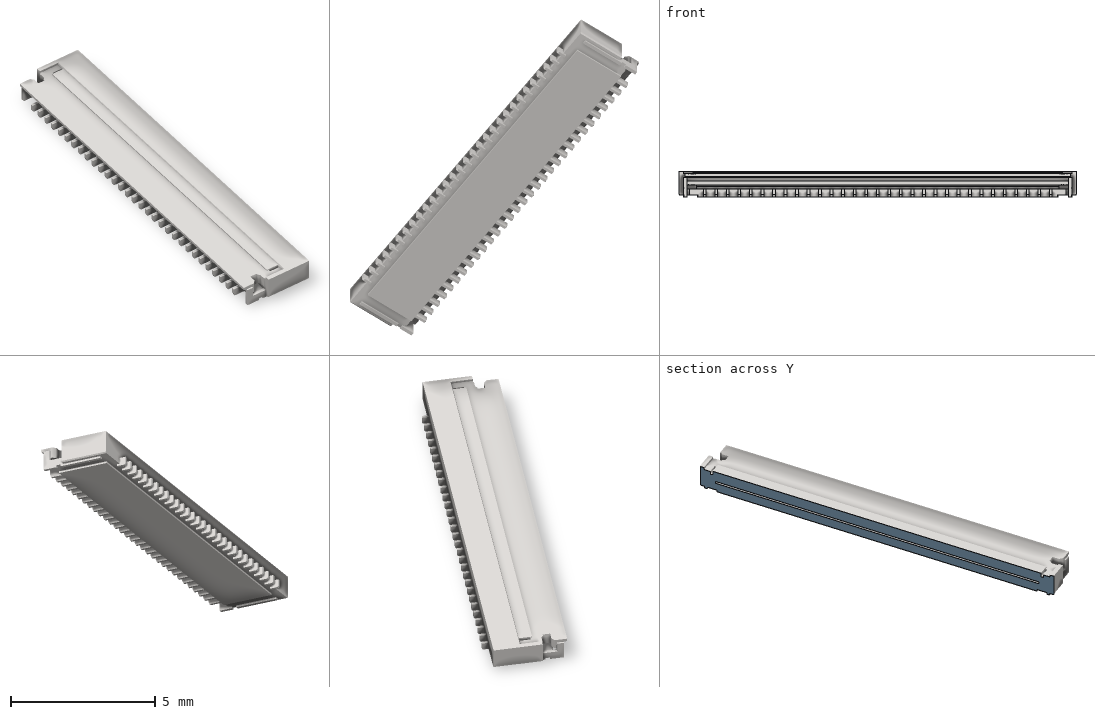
import cadquery as cq


LENGTH = 13.8
HEIGHT = 0.9
BACK_Y = 1.21
ARM_FRONT_Y = -0.52
BASE_FRONT_Y = -0.95
HOUSING_BOTTOM_Z = 0.07
BOTTOM_EDGE_CHAMFER = 0.04
FLOOR_Z = 0.29

SOLE_HALF_X = 6.25
SOLE_BACK_Y = 0.91
BASE_HALF_X = 6.61
BASE_CORNER = 0.08

OPENING_HALF_X = 6.73
OPENING_BACK_Y = 0.26
OPENING_BEVEL = 0.04

SLOT_HALF_X = 6.29
SLOT_TOP_Z = 0.43
SLOT_BACK_Y = 0.83
RAMP_TOP_Z = 0.37
RAMP_BACK_Y = -0.41

LOCK_TOP_Z = 0.81
LOCK_FRONT_Y = -1.42
LOCK_HALF_X = 6.68
LIP_BOTTOM_Z = 0.69
LIP_BACK_Y = -1.16
NOSE_TOP_Z = 0.57
NOSE_Y = -1.05
LIP_EDGE_CHAMFER = 0.05

PAD_HALF_X = 6.4
PAD_FRONT_Y = -0.23
PAD_TOP_Z = 0.85
GROOVE_WIDTH = 0.08
GROOVE_FRONT_Y = -0.17
GROOVE_DEPTH = 0.11

NOTCH_INNER_X = 6.38
NOTCH_TOP_INNER_X = 6.32
NOTCH_BACK_Y = -0.55
NOTCH_FRONT_Y = -0.88
NOTCH_CORNER = 0.11
NOTCH_BACK_CORNER = 0.07

FITTING_THICKNESS = 0.12
FITTING_BACK_Y = 0.91
FITTING_FRONT_Y = -1.3
RAIL_TOP_Z = 0.32
RELIEF_FRONT_Y = -0.81
RELIEF_BACK_Y = -0.65
POST_BACK_Y = -1.06
POST_TOP_Z = LIP_BOTTOM_Z

PITCH = 0.4
FRONT_CONTACTS = 31
REAR_CONTACTS = FRONT_CONTACTS - 1
CONTACT_WIDTH = 0.1
CONTACT_TOP_Z = 0.29
CONTACT_TIP_CHAMFER = 0.04
FRONT_TIP_CHAMFER_HEIGHT = 0.1
FRONT_TIP_Y = -1.4
REAR_TIP_Y = 1.44
REAR_FOOT_Y = 1.1
OVERLAP = 0.07


def block(x0, x1, y0, y1, z0, z1):
    """Box between two opposite corners."""
    return cq.Workplane("XY").box(x1 - x0, y1 - y0, z1 - z0, centered=False).translate((x0, y0, z0))


def centred_block(half_x, y0, y1, z0, z1):
    """Box symmetric about the YZ plane."""
    return block(-half_x, half_x, y0, y1, z0, z1)


def swept_profile(points, half_x):
    """Outline in (Y, Z) extruded symmetrically along X."""
    return cq.Workplane("YZ").polyline(points).close().extrude(half_x, both=True)


def both_ends(piece):
    """The piece together with its mirror image at the other end of the connector."""
    return piece.union(piece.mirror("YZ"))


def make_housing():
    shell = centred_block(LENGTH / 2, ARM_FRONT_Y, BACK_Y, HOUSING_BOTTOM_Z, HEIGHT)
    shell = shell.faces("<Z").edges("|Y").chamfer(BOTTOM_EDGE_CHAMFER)
    opening = swept_profile(
        [
            (ARM_FRONT_Y, LOCK_TOP_Z),
            (OPENING_BACK_Y - OPENING_BEVEL, LOCK_TOP_Z),
            (OPENING_BACK_Y, HEIGHT),
            (ARM_FRONT_Y, HEIGHT),
        ],
        OPENING_HALF_X,
    )
    base = centred_block(BASE_HALF_X, BASE_FRONT_Y, ARM_FRONT_Y + OVERLAP, HOUSING_BOTTOM_Z, FLOOR_Z)
    base = base.faces("<Y").edges("|Z").chamfer(BASE_CORNER)
    sole = centred_block(SOLE_HALF_X, BASE_FRONT_Y, SOLE_BACK_Y, 0, HOUSING_BOTTOM_Z)
    return shell.cut(opening).union(base).union(sole)


def make_slot():
    return swept_profile(
        [
            (ARM_FRONT_Y, FLOOR_Z),
            (RAMP_BACK_Y, RAMP_TOP_Z),
            (SLOT_BACK_Y, RAMP_TOP_Z),
            (SLOT_BACK_Y, SLOT_TOP_Z),
            (ARM_FRONT_Y, SLOT_TOP_Z),
        ],
        SLOT_HALF_X,
    )


def make_notch():
    """Corner notch at the -X end, open to the side, with bevelled corners and a leaning inner wall."""
    straight = (
        cq.Workplane("XY")
        .workplane(offset=SLOT_TOP_Z)
        .moveTo(-LENGTH / 2, NOTCH_BACK_Y)
        .lineTo(-NOTCH_INNER_X - NOTCH_BACK_CORNER, NOTCH_BACK_Y)
        .lineTo(-NOTCH_INNER_X, NOTCH_BACK_Y - NOTCH_BACK_CORNER)
        .lineTo(-NOTCH_INNER_X, NOTCH_FRONT_Y)
        .lineTo(-LOCK_HALF_X + NOTCH_CORNER, NOTCH_FRONT_Y)
        .lineTo(-LOCK_HALF_X, NOTCH_FRONT_Y - NOTCH_CORNER)
        .lineTo(-LENGTH / 2, NOTCH_FRONT_Y - NOTCH_CORNER)
        .close()
        .extrude(HEIGHT - SLOT_TOP_Z)
    )
    lean = (
        cq.Workplane("XZ", origin=(0, NOTCH_BACK_Y - NOTCH_BACK_CORNER, 0))
        .moveTo(-NOTCH_INNER_X, SLOT_TOP_Z)
        .lineTo(-NOTCH_TOP_INNER_X, LOCK_TOP_Z)
        .lineTo(-NOTCH_INNER_X, LOCK_TOP_Z)
        .close()
        .extrude(NOTCH_BACK_Y - NOTCH_BACK_CORNER - NOTCH_FRONT_Y)
    )
    return straight.union(lean)


def make_lock():
    front = swept_profile(
        [
            (ARM_FRONT_Y + OVERLAP, SLOT_TOP_Z),
            (NOSE_Y, SLOT_TOP_Z),
            (NOSE_Y, NOSE_TOP_Z),
            (LIP_BACK_Y, LIP_BOTTOM_Z),
            (LOCK_FRONT_Y + LIP_EDGE_CHAMFER, LIP_BOTTOM_Z),
            (LOCK_FRONT_Y, LIP_BOTTOM_Z + LIP_EDGE_CHAMFER / 2),
            (LOCK_FRONT_Y, LOCK_TOP_Z),
            (ARM_FRONT_Y + OVERLAP, LOCK_TOP_Z),
        ],
        LOCK_HALF_X,
    )
    return front.cut(both_ends(make_notch()))


def make_pad():
    return centred_block(PAD_HALF_X, PAD_FRONT_Y, OPENING_BACK_Y, LOCK_TOP_Z - OVERLAP, PAD_TOP_Z)


def make_groove():
    """Groove beside the -X end of the pad."""
    outer_x = -PAD_HALF_X - GROOVE_WIDTH
    bevel_foot_y = OPENING_BACK_Y - OPENING_BEVEL
    return block(outer_x, -PAD_HALF_X, GROOVE_FRONT_Y, bevel_foot_y, LOCK_TOP_Z - GROOVE_DEPTH, LOCK_TOP_Z)


def make_fitting():
    """L-shaped hold-down at the -X end: a rail beside the base and an upright post."""
    outer_x = -OPENING_HALF_X
    inner_x = outer_x + FITTING_THICKNESS
    rail = block(outer_x, inner_x, FITTING_FRONT_Y, ARM_FRONT_Y + OVERLAP, 0, RAIL_TOP_Z)
    foot = block(outer_x, inner_x, ARM_FRONT_Y, FITTING_BACK_Y, 0, HOUSING_BOTTOM_Z)
    post = block(outer_x, inner_x, FITTING_FRONT_Y, POST_BACK_Y, RAIL_TOP_Z, POST_TOP_Z)
    relief = block(outer_x, inner_x, RELIEF_FRONT_Y, RELIEF_BACK_Y, 0, HOUSING_BOTTOM_Z)
    return rail.cut(relief).union(foot).union(post)


def contact_row(profile, count):
    """Row of identical contacts with the given (Y, Z) outline, centred on X = 0."""
    contact = swept_profile(profile, CONTACT_WIDTH / 2).val()
    first_x = -PITCH * (count - 1) / 2
    return [contact.translate(cq.Vector(first_x + i * PITCH, 0, 0)) for i in range(count)]


def make_contacts():
    front_profile = [
        (BASE_FRONT_Y + OVERLAP, 0),
        (FRONT_TIP_Y + CONTACT_TIP_CHAMFER, 0),
        (FRONT_TIP_Y, FRONT_TIP_CHAMFER_HEIGHT),
        (FRONT_TIP_Y, CONTACT_TOP_Z),
        (BASE_FRONT_Y + OVERLAP, CONTACT_TOP_Z),
    ]
    rear_profile = [
        (REAR_FOOT_Y, 0),
        (REAR_TIP_Y - CONTACT_TIP_CHAMFER, 0),
        (REAR_TIP_Y, CONTACT_TIP_CHAMFER),
        (REAR_TIP_Y, CONTACT_TOP_Z),
        (REAR_FOOT_Y, CONTACT_TOP_Z),
    ]
    return contact_row(front_profile, FRONT_CONTACTS) + contact_row(rear_profile, REAR_CONTACTS)


body = make_housing().cut(make_slot())
body = body.union(make_lock()).union(make_pad()).cut(both_ends(make_groove()))
body = body.union(both_ends(make_fitting()))
result = cq.Workplane(body.val().fuse(*make_contacts()))